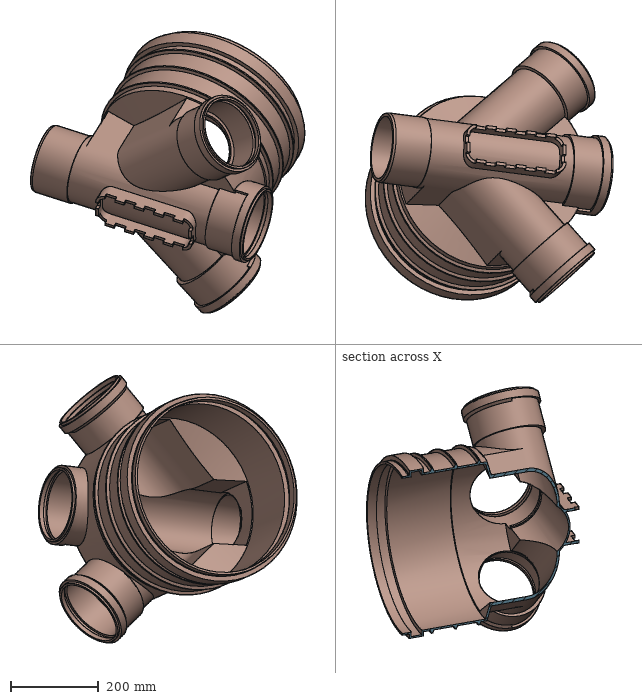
import cadquery as cq
import math


RIM_Y = 330.0
CHAMBER_BOTTOM_Y = 123.0
CHAMBER_RADIUS = 416.0 / 2
CHAMBER_BORE_RADIUS = 404.0 / 2
RIM_RADIUS = 415.0 / 2
COLLAR_RADIUS = 438.0 / 2
COLLAR_GROOVE_RADIUS = 427.5 / 2
COLLAR_TOP_Y = 313.0
COLLAR_BOTTOM_Y = 278.0
COLLAR_SEAT_Y = 316.0
RIB_RADIUS = 430 / 2
RIB_LEVELS = (257.0, 199.5, 142.5)
RIB_ROOT_WIDTH = 10.0
RIB_TIP_WIDTH = 4.0

WALL = 5.0
BASE_RADIUS = 204.5
BASE_CAVITY_RADIUS = BASE_RADIUS - WALL
FLOOR_CONE_DEPTH = 60.0
BENCH_Y = -4.5

PIPE_RADIUS = 160.0 / 2
PIPE_BORE_RADIUS = PIPE_RADIUS - WALL
BRANCH_ORIGIN_X = -85.0
BRANCH_AXIS_Y = 24.0
BRANCH_ANGLE = 45
BRANCH_RADIUS = 78.5
BRANCH_BORE_RADIUS = 143 / 2
BRANCH_SOCKET_DROP = 3.0

SPIGOT_END_X = -291.5
SPIGOT_SHOULDER_X = -200.0
SPIGOT_AXIS_Y = -4.0
SPIGOT_RADIUS = 161.0 / 2
SPIGOT_BORE_RADIUS = 143 / 2
SPIGOT_CHAMFER_LENGTH = 5.5
SPIGOT_CHAMFER_DEPTH = 2.0

SOCKET_LENGTH = 93.5
SOCKET_RADIUS = 171.0 / 2
SOCKET_BORE_RADIUS = 161.0 / 2
SOCKET_COLLAR_RADIUS = 182.5 / 2
SOCKET_GROOVE_RADIUS = 174.0 / 2
SOCKET_COLLAR_START = 68.5
SOCKET_COLLAR_END = 88.0
SOCKET_STOP = 6.0
BRANCH_TAPER_LENGTH = 6.0
MAIN_SOCKET_END_X = 240.5
MAIN_SOCKET_X = MAIN_SOCKET_END_X - SOCKET_LENGTH

OVERALL_Z = 623.0
BRANCH_RIM = OVERALL_Z / 2 / math.sin(math.radians(BRANCH_ANGLE)) - SOCKET_COLLAR_RADIUS
BRANCH_LENGTH = BRANCH_RIM - SOCKET_COLLAR_END

FOOT_LENGTH = 240.5
FOOT_WIDTH = 93.5
FOOT_CORNER_RADIUS = 28.0
FOOT_WALL = 7.5
FOOT_BOTTOM_Y = -101.5
FOOT_TOP_Y = -56.0
NOTCH_DEPTH = 10.0
NOTCH_WIDTH = 25.5
NOTCH_PITCH = 48.5
NOTCH_COUNT = 5
FIRST_NOTCH_X = -85.0
NOTCH_REACH = 23.5
END_NOTCH_WIDTH = 18.0


def riser_cylinder(radius, low, high):
    """Cylinder on the riser axis between two Y levels."""
    return cq.Workplane("XZ", origin=(0, high, 0)).circle(radius).extrude(high - low)


def pipe_cylinder(radius, start, end, level=0):
    """Cylinder along X at the given Y level."""
    return cq.Workplane("YZ", origin=(start, level, 0)).circle(radius).extrude(end - start)


def block(x_range, y_range, z_range):
    """Axis-aligned box given by its three ranges."""
    corner = cq.Vector(x_range[0], y_range[0], z_range[0])
    sizes = [high - low for low, high in (x_range, y_range, z_range)]
    return cq.Workplane(cq.Solid.makeBox(*sizes, corner))


def revolve_profile(points):
    """Revolve (radius, Y) points about the riser axis."""
    return cq.Workplane("XY").polyline(points).close().revolve(360, (0, 0), (0, 1))


def place_branch(body, side):
    """Move a body built along +X from the origin onto the +Z (1) or -Z (-1) branch axis."""
    turned = body.rotate((0, 0, 0), (0, 1, 0), -side * BRANCH_ANGLE)
    return turned.translate((BRANCH_ORIGIN_X, BRANCH_AXIS_Y, 0))


def both_branches(body):
    return place_branch(body, 1).union(place_branch(body, -1))


def chamber_outside():
    body = riser_cylinder(CHAMBER_RADIUS, CHAMBER_BOTTOM_Y, COLLAR_BOTTOM_Y)
    body = body.union(riser_cylinder(COLLAR_RADIUS, COLLAR_BOTTOM_Y, COLLAR_TOP_Y))
    body = body.union(riser_cylinder(CHAMBER_RADIUS, COLLAR_TOP_Y, COLLAR_SEAT_Y))
    body = body.union(riser_cylinder(RIM_RADIUS, COLLAR_SEAT_Y, RIM_Y))
    for level in RIB_LEVELS:
        rib = revolve_profile([
            (CHAMBER_BORE_RADIUS, level - RIB_ROOT_WIDTH / 2),
            (CHAMBER_RADIUS, level - RIB_ROOT_WIDTH / 2),
            (RIB_RADIUS, level - RIB_TIP_WIDTH / 2),
            (RIB_RADIUS, level + RIB_TIP_WIDTH / 2),
            (CHAMBER_RADIUS, level + RIB_ROOT_WIDTH / 2),
            (CHAMBER_BORE_RADIUS, level + RIB_ROOT_WIDTH / 2),
        ])
        body = body.union(rib)
    return body


def chamber_inside():
    bore = riser_cylinder(CHAMBER_BORE_RADIUS, CHAMBER_BOTTOM_Y + WALL, RIM_Y)
    groove = riser_cylinder(COLLAR_GROOVE_RADIUS, COLLAR_BOTTOM_Y + WALL, COLLAR_TOP_Y - WALL)
    return bore.union(groove)


def floor_cone(radius, base_y):
    """Shallow cone that closes the riser between the pipes, apex down."""
    return revolve_profile([(0, base_y), (radius, base_y), (0, base_y - FLOOR_CONE_DEPTH)])


def channel_sides(radius, start, end, height):
    """Block between the flat sides that rise from a pipe axis to the given height."""
    return block((start, end), (0, height), (-radius, radius))


def base_body(main_radius, branch_radius, base_radius, bench_y, top_y):
    """Channels and benches trimmed to the base cylinder, with the pipes running on to their ends."""
    main_sides = channel_sides(main_radius, -base_radius, base_radius, top_y)
    branch_sides = channel_sides(branch_radius, 0, 2 * base_radius, top_y - BRANCH_AXIS_Y)
    bench_length = 2 * base_radius
    bench_reach = bench_length * math.tan(math.radians(BRANCH_ANGLE))
    bench = (
        cq.Workplane("XZ", origin=(BRANCH_ORIGIN_X, top_y, 0))
        .polyline([(0, 0), (bench_length, -bench_reach), (bench_length, bench_reach)])
        .close()
        .extrude(top_y - bench_y)
    )
    base = main_sides.union(both_branches(branch_sides)).union(bench)
    base = base.intersect(riser_cylinder(base_radius, bench_y, top_y))
    main_pipe = pipe_cylinder(main_radius, SPIGOT_SHOULDER_X, MAIN_SOCKET_X)
    branch_pipe = pipe_cylinder(branch_radius, 0, BRANCH_LENGTH)
    return base.union(main_pipe).union(both_branches(branch_pipe))


def socket_outside():
    """Socket along +X from the origin, with a seal collar and a short lip."""
    body = pipe_cylinder(SOCKET_RADIUS, 0, SOCKET_LENGTH)
    return body.union(pipe_cylinder(SOCKET_COLLAR_RADIUS, SOCKET_COLLAR_START, SOCKET_COLLAR_END))


def socket_inside():
    stop = pipe_cylinder(BRANCH_BORE_RADIUS, -SOCKET_STOP, SOCKET_STOP)
    bore = pipe_cylinder(SOCKET_BORE_RADIUS, SOCKET_STOP, SOCKET_LENGTH)
    groove = pipe_cylinder(
        SOCKET_GROOVE_RADIUS, SOCKET_COLLAR_START + WALL, SOCKET_COLLAR_END - WALL
    )
    return stop.union(bore).union(groove)


def collar_crown(length, back_radius):
    """Upper half of a backward extension of the socket collar, ending at the given back radius."""
    start = SOCKET_COLLAR_START - length
    profile = [
        (start, 0),
        (start, back_radius),
        (SOCKET_COLLAR_START, SOCKET_COLLAR_RADIUS),
        (SOCKET_COLLAR_START, 0),
    ]
    crown = cq.Workplane("XY").polyline(profile).close().revolve(360, (0, 0), (1, 0))
    upper_half = channel_sides(SOCKET_COLLAR_RADIUS, start, SOCKET_COLLAR_START, SOCKET_COLLAR_RADIUS)
    return crown.intersect(upper_half)


def all_sockets(main_socket, branch_socket):
    """Place a body built along +X on the main pipe end and another on both branch ends."""
    main = main_socket.translate((MAIN_SOCKET_X, 0, 0))
    branch = branch_socket.translate((BRANCH_LENGTH, -BRANCH_SOCKET_DROP, 0))
    return main.union(both_branches(branch))


def spigot():
    body = pipe_cylinder(SPIGOT_RADIUS, SPIGOT_END_X, SPIGOT_SHOULDER_X, SPIGOT_AXIS_Y)
    return body.faces("<X").chamfer(SPIGOT_CHAMFER_LENGTH, SPIGOT_CHAMFER_DEPTH)


def foot():
    """Rounded rectangular wall with notches staggered between its two long sides."""
    height = FOOT_TOP_Y - FOOT_BOTTOM_Y
    plane = cq.Workplane("XZ", origin=(0, FOOT_TOP_Y, 0))
    outer = plane.rect(FOOT_LENGTH, FOOT_WIDTH).extrude(height)
    outer = outer.edges("|Y").fillet(FOOT_CORNER_RADIUS)
    inner = plane.rect(FOOT_LENGTH - 2 * FOOT_WALL, FOOT_WIDTH - 2 * FOOT_WALL).extrude(height)
    inner = inner.edges("|Y").fillet(FOOT_CORNER_RADIUS - FOOT_WALL)
    wall = outer.cut(inner)

    levels = (FOOT_BOTTOM_Y, FOOT_BOTTOM_Y + NOTCH_DEPTH)
    end_notch = block((-FOOT_LENGTH / 2, 0), levels, (0, END_NOTCH_WIDTH))
    notches = [end_notch]
    for i in range(NOTCH_COUNT):
        center = FIRST_NOTCH_X + i * NOTCH_PITCH
        span = (center - NOTCH_WIDTH / 2, center + NOTCH_WIDTH / 2)
        notches.append(block(span, levels, (NOTCH_REACH, FOOT_WIDTH / 2)))
    for notch in notches:
        wall = wall.cut(notch).cut(notch.rotate((0, 0, 0), (0, 1, 0), 180))
    return wall


main_crown = collar_crown(SOCKET_COLLAR_START, SOCKET_COLLAR_RADIUS)
branch_crown = collar_crown(BRANCH_TAPER_LENGTH, SOCKET_RADIUS)

outside = (
    base_body(PIPE_RADIUS, BRANCH_RADIUS, BASE_RADIUS, BENCH_Y, CHAMBER_BOTTOM_Y)
    .union(floor_cone(CHAMBER_RADIUS, CHAMBER_BOTTOM_Y))
    .union(chamber_outside())
    .union(all_sockets(socket_outside(), socket_outside()))
    .union(all_sockets(main_crown, branch_crown))
    .union(spigot())
    .union(foot())
)
inside = (
    base_body(
        PIPE_BORE_RADIUS, BRANCH_BORE_RADIUS, BASE_CAVITY_RADIUS, BENCH_Y + WALL, CHAMBER_BOTTOM_Y + WALL
    )
    .union(floor_cone(CHAMBER_BORE_RADIUS, CHAMBER_BOTTOM_Y + WALL))
    .union(chamber_inside())
    .union(all_sockets(socket_inside(), socket_inside()))
    .union(pipe_cylinder(SPIGOT_BORE_RADIUS, SPIGOT_END_X, SPIGOT_SHOULDER_X, SPIGOT_AXIS_Y))
)
result = outside.cut(inside)